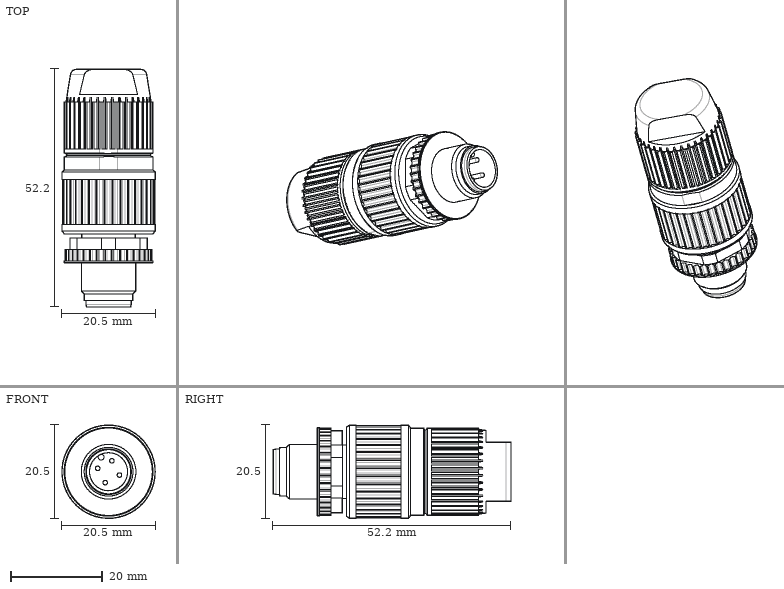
import cadquery as cq
import math


LENGTH = 52.2
TIP_CHAMFER_END = 0.65
TIP_END = 1.45
STEP_END = 2.9
BARREL_START = 3.55
NUT_FRONT = 9.65
NUT_RIM_END = 10.15
NUT_KNURL_END = 12.7
NUT_BACK = 15.2
BODY_FRONT = 16.05
BODY_KNURL_START = 18.15
BODY_KNURL_END = 28.05
BODY_BACK = 30.1
BODY_FRONT_CHAMFER = 0.7
BODY_BACK_CHAMFER = 0.45
SEAM_START = 32.95
SEAM_END = 33.85
SEAM_FLOOR_WIDTH = 0.35
CAP_KNURL_START = 34.7
CAP_CONE_START = 45.05
WRENCH_FLAT_START = 46.7

TIP_FACE_DIAMETER = 9.7
TIP_DIAMETER = 10.0
STEP_DIAMETER = 10.7
BARREL_DIAMETER = 12.0
NECK_DIAMETER = 11.8
NUT_RIM_DIAMETER = 19.5
NUT_KNURL_DIAMETER = 19.2
BODY_DIAMETER = 20.5
BODY_KNURL_DIAMETER = 20.35
BODY_FACE_DIAMETER = 19.5
CAP_DIAMETER = 19.5
SEAM_DIAMETER = 18.4
CONE_BASE_DIAMETER = 18.7
CONE_END_DIAMETER = 16.4
CONE_END_RADIUS = 1.35
NUT_RIM_CHAMFER = 0.15

HEX_ACROSS_FLATS = 17.0
HEX_CORNER_DIAMETER = 18.1
HEX_FIRST_ANGLE = 90.0
CAP_ACROSS_FLATS = 19.1
WRENCH_ACROSS_FLATS = 13.0

CAP_GROOVE_COUNT = 36
CAP_GROOVE_FLOOR_DIAMETER = 18.4
CAP_GROOVE_FLOOR_WIDTH = 0.3
BODY_GROOVE_COUNT = 36
NUT_GROOVE_COUNT = 36
BODY_FLUTE_FLANK_DEPTH = 0.45
BODY_FLUTE_CHORD = 0.65
NUT_FLUTE_FLANK_DEPTH = 0.35
NUT_FLUTE_CHORD = 0.75
FLANK_ANGLE = 45.0
CUT_MARGIN = 0.1

SOCKET_DIAMETER = 8.35
SOCKET_DEPTH = 8.5
PIN_DIAMETER = 1.0
PIN_CIRCLE_RADIUS = 2.5
PIN_COUNT = 4
PIN_FIRST_ANGLE = 73.0
PIN_TIP = 1.8
KEY_RADIUS = 0.65
KEY_CENTRE_RADIUS = 3.6
KEY_ANGLE = 117.0
KEY_TIP = TIP_END


def rod(diameter, start, end, x=0, z=0):
    """Cylinder parallel to Y."""
    return cq.Workplane("XZ", origin=(x, start, z)).circle(diameter / 2).extrude(start - end)


def revolved(points):
    """Solid of revolution about Y from (diameter, station) pairs, closed along the axis."""
    outline = [(0, points[0][1])]
    outline += [(diameter / 2, station) for diameter, station in points]
    outline.append((0, points[-1][1]))
    return cq.Workplane("XY").polyline(outline).close().revolve(360, (0, 0), (0, 1))


def around_axis(solid, count, first_angle=0.0):
    """Compound of equally spaced copies about Y, angles measured from +Z."""
    copies = []
    for index in range(count):
        angle = first_angle + 360 * index / count
        copies.append(solid.rotate((0, 0, 0), (0, 1, 0), angle).val())
    return cq.Workplane(cq.Compound.makeCompound(copies))


def polar(radius, angle):
    """X and Z of a point at an angle measured from +X toward +Z."""
    turn = math.radians(angle)
    return radius * math.cos(turn), radius * math.sin(turn)


def plug():
    """Stepped barrel at the front, running back as a neck into the body."""
    barrel = revolved([
        (TIP_FACE_DIAMETER, 0),
        (TIP_DIAMETER, TIP_CHAMFER_END),
        (TIP_DIAMETER, TIP_END),
        (STEP_DIAMETER, TIP_END),
        (STEP_DIAMETER, STEP_END),
        (BARREL_DIAMETER, BARREL_START),
        (BARREL_DIAMETER, NUT_FRONT),
        (NECK_DIAMETER, NUT_FRONT),
        (NECK_DIAMETER, BODY_FRONT),
    ])
    return barrel.cut(rod(SOCKET_DIAMETER, 0, SOCKET_DEPTH))


def contacts():
    """Round-nosed pins standing on the socket floor."""
    pins = cq.Workplane()
    for index in range(PIN_COUNT):
        x, z = polar(PIN_CIRCLE_RADIUS, PIN_FIRST_ANGLE + 360 * index / PIN_COUNT)
        nose_centre = PIN_TIP + PIN_DIAMETER / 2
        nose = cq.Workplane("XY").sphere(PIN_DIAMETER / 2).translate((x, nose_centre, z))
        pins = pins.add(rod(PIN_DIAMETER, nose_centre, SOCKET_DEPTH, x, z).union(nose))
    return pins.combine()


def coding_key():
    """Round rib along the socket wall, trimmed to stay inside the plug wall."""
    x, z = polar(KEY_CENTRE_RADIUS, KEY_ANGLE)
    wall_limit = rod((SOCKET_DIAMETER + TIP_DIAMETER) / 2, KEY_TIP, SOCKET_DEPTH)
    return rod(2 * KEY_RADIUS, KEY_TIP, SOCKET_DEPTH, x, z).intersect(wall_limit)


def flutes(diameter, start, end, count, chord, flank_depth):
    """Knurl grooves with straight flanks running tangentially into an arc floor."""
    half_chord = chord / 2
    flank_foot = diameter / 2 - flank_depth
    arc_sag = half_chord * math.tan(math.radians(FLANK_ANGLE / 2))
    top = diameter / 2 + CUT_MARGIN
    half_top = half_chord + (top - flank_foot) * math.tan(math.radians(FLANK_ANGLE))
    groove = (
        cq.Workplane("XZ", origin=(0, start, 0))
        .moveTo(-half_top, top)
        .lineTo(-half_chord, flank_foot)
        .threePointArc((0, flank_foot - arc_sag), (half_chord, flank_foot))
        .lineTo(half_top, top)
        .close()
        .extrude(start - end)
    )
    return around_axis(groove, count)


def coupling_nut():
    """Rimmed and knurled disc with a hexagon whose corners are turned round, two of them at +Z and -Z."""
    disc = revolved([
        (NUT_RIM_DIAMETER - 2 * NUT_RIM_CHAMFER, NUT_FRONT),
        (NUT_RIM_DIAMETER, NUT_FRONT + NUT_RIM_CHAMFER),
        (NUT_RIM_DIAMETER, NUT_RIM_END),
        (NUT_KNURL_DIAMETER, NUT_RIM_END),
        (NUT_KNURL_DIAMETER, NUT_KNURL_END),
    ])
    knurl = flutes(
        NUT_KNURL_DIAMETER, NUT_RIM_END, NUT_KNURL_END,
        NUT_GROOVE_COUNT, NUT_FLUTE_CHORD, NUT_FLUTE_FLANK_DEPTH,
    )
    hex_point_radius = HEX_ACROSS_FLATS / math.sqrt(3)
    hex_points = [polar(hex_point_radius, HEX_FIRST_ANGLE + 60 * index) for index in range(6)]
    hexagon = (
        cq.Workplane("XZ", origin=(0, NUT_KNURL_END, 0))
        .polyline(hex_points)
        .close()
        .extrude(NUT_KNURL_END - NUT_BACK)
    )
    hexagon = hexagon.intersect(rod(HEX_CORNER_DIAMETER, NUT_KNURL_END, NUT_BACK))
    return disc.cut(knurl).union(hexagon)


def body():
    """Knurled sleeve between two plain chamfered bands."""
    sleeve = revolved([
        (BODY_FACE_DIAMETER, BODY_FRONT),
        (BODY_DIAMETER, BODY_FRONT + BODY_FRONT_CHAMFER),
        (BODY_DIAMETER, BODY_KNURL_START),
        (BODY_KNURL_DIAMETER, BODY_KNURL_START),
        (BODY_KNURL_DIAMETER, BODY_KNURL_END),
        (BODY_DIAMETER, BODY_KNURL_END),
        (BODY_DIAMETER, BODY_BACK - BODY_BACK_CHAMFER),
        (CAP_DIAMETER, BODY_BACK),
    ])
    knurl = flutes(
        BODY_KNURL_DIAMETER, BODY_KNURL_START, BODY_KNURL_END,
        BODY_GROOVE_COUNT, BODY_FLUTE_CHORD, BODY_FLUTE_FLANK_DEPTH,
    )
    return sleeve.cut(knurl)


def cap_grooves():
    """Flat-bottomed V grooves that run out on the cone."""
    half_floor = CAP_GROOVE_FLOOR_WIDTH / 2
    floor = CAP_GROOVE_FLOOR_DIAMETER / 2
    top = CAP_DIAMETER / 2 + CUT_MARGIN
    half_top = half_floor + (top - floor) * math.tan(math.radians(FLANK_ANGLE))
    groove = (
        cq.Workplane("XZ", origin=(0, CAP_KNURL_START, 0))
        .polyline([(-half_top, top), (-half_floor, floor), (half_floor, floor), (half_top, top)])
        .close()
        .extrude(CAP_KNURL_START - LENGTH)
    )
    return around_axis(groove, CAP_GROOVE_COUNT, 180 / CAP_GROOVE_COUNT)


def wrench_flats():
    """Two blocks that leave parallel faces on the end of the cone."""
    block = cq.Workplane("XY").box(
        CAP_DIAMETER, LENGTH - WRENCH_FLAT_START, CAP_DIAMETER, centered=(True, False, False)
    )
    block = block.translate((0, WRENCH_FLAT_START, WRENCH_ACROSS_FLATS / 2))
    return around_axis(block, 2)


def cap():
    """Collar, seam groove, knurled grip and flatted cone."""
    seam_middle = (SEAM_START + SEAM_END) / 2
    collar_and_grip = revolved([
        (CAP_DIAMETER, BODY_BACK),
        (CAP_DIAMETER, SEAM_START),
        (SEAM_DIAMETER, seam_middle - SEAM_FLOOR_WIDTH / 2),
        (SEAM_DIAMETER, seam_middle + SEAM_FLOOR_WIDTH / 2),
        (CAP_DIAMETER, SEAM_END),
        (CAP_DIAMETER, CAP_CONE_START),
    ])
    flat_limit = cq.Workplane("XY").box(
        CAP_DIAMETER, LENGTH - BODY_BACK, CAP_ACROSS_FLATS, centered=(True, False, True)
    )
    collar_and_grip = collar_and_grip.intersect(flat_limit.translate((0, BODY_BACK, 0)))
    cone = revolved([(CONE_BASE_DIAMETER, CAP_CONE_START), (CONE_END_DIAMETER, LENGTH)])
    cone = cone.faces(">Y").edges().fillet(CONE_END_RADIUS)
    return collar_and_grip.union(cone).cut(cap_grooves()).cut(wrench_flats())


result = (
    plug()
    .union(contacts())
    .union(coding_key())
    .union(coupling_nut())
    .union(body())
    .union(cap())
)